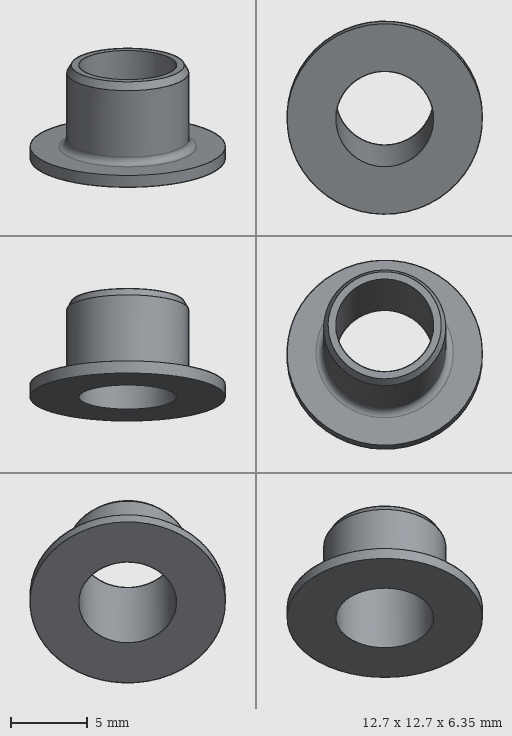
import cadquery as cq
import math

flange_diameter = 12.7
flange_thickness = 0.81
total_height = 6.35
sleeve_diameter = 7.94
bore_diameter = 6.35
root_fillet_radius = 0.5
lead_in_height = 0.51
lead_in_angle = 30.0

flange_radius = flange_diameter / 2
sleeve_radius = sleeve_diameter / 2
bore_radius = bore_diameter / 2
lead_in_width = lead_in_height * math.tan(math.radians(lead_in_angle))
fillet_top = flange_thickness + root_fillet_radius

fillet_mid_offset = root_fillet_radius * (1 - math.sqrt(0.5))
fillet_middle = (sleeve_radius + fillet_mid_offset, flange_thickness + fillet_mid_offset)

half_section = (
    cq.Workplane("XZ")
    .moveTo(bore_radius, 0)
    .lineTo(flange_radius, 0)
    .lineTo(flange_radius, flange_thickness)
    .lineTo(sleeve_radius + root_fillet_radius, flange_thickness)
    .threePointArc(fillet_middle, (sleeve_radius, fillet_top))
    .lineTo(sleeve_radius, total_height - lead_in_height)
    .lineTo(sleeve_radius - lead_in_width, total_height)
    .lineTo(bore_radius, total_height)
    .close()
)

result = half_section.revolve(360, (0, 0), (0, 1))